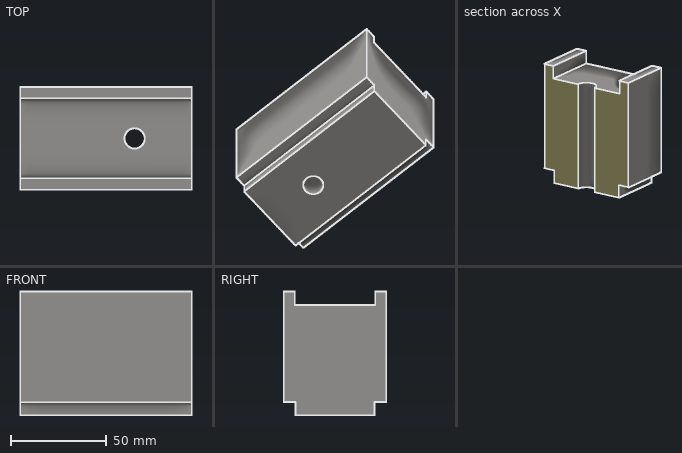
import cadquery as cq

length = 90.0
width = 54.0
height = 65.0

step_height = 7.0
channel_width = 42.0
sliding_clearance = 0.5
tongue_width = channel_width - sliding_clearance

hole_diameter = 10.5
hole_from_left_end = 60.0


def full_length_bar(bar_width, bar_height, bottom):
    """Bar along the whole length, centred across the width, with its underside at bottom."""
    bar = cq.Workplane("XY").box(length, bar_width, bar_height, centered=(False, True, False))
    return bar.translate((0, 0, bottom))


def make_body():
    """Wide block standing on the narrower tongue."""
    block = full_length_bar(width, height - step_height, step_height)
    tongue = full_length_bar(tongue_width, step_height, 0)
    return block.union(tongue)


def make_channel():
    """Space between the two top rails."""
    return full_length_bar(channel_width, step_height, height - step_height)


def make_hole():
    """Hole through the full height."""
    return cq.Workplane("XY").center(hole_from_left_end, 0).circle(hole_diameter / 2).extrude(height)


result = make_body().cut(make_channel()).cut(make_hole())